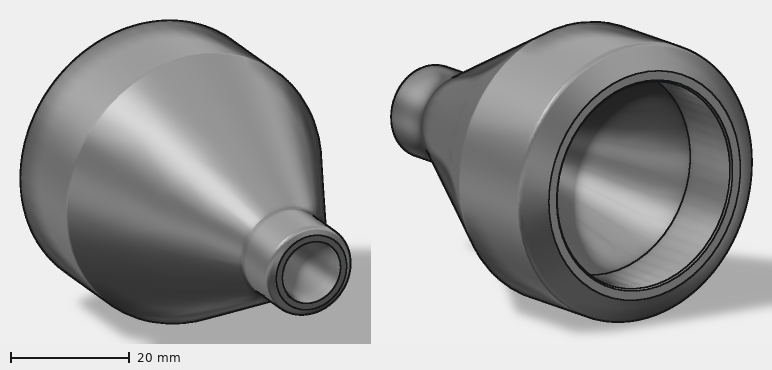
import cadquery as cq
import math

length = 64.0
body_diameter = 48.3
neck_diameter = 16.0
bore_diameter = 35.7
outlet_diameter = 11.0
mouth_diameter = 39.55
tip_diameter = 13.3
cone_start = 20.1
cone_end = 54.1
bore_depth = 12.0
inner_cone_end = 45.75
bevel_angle = 60.0
edge_radius = 1.0
bore_chamfer = 0.3
corner_tolerance = 0.05

body_radius = body_diameter / 2
neck_radius = neck_diameter / 2
bore_radius = bore_diameter / 2
outlet_radius = outlet_diameter / 2
mouth_radius = mouth_diameter / 2
tip_radius = tip_diameter / 2

bevel_slope = math.tan(math.radians(bevel_angle))
body_bevel_length = (body_radius - mouth_radius) / bevel_slope
neck_bevel_length = (neck_radius - tip_radius) / bevel_slope


def revolve_about_x(profile_points):
    """Revolve a closed profile of (x, radius) points around the X axis."""
    profile = cq.Workplane("XY").polyline(profile_points).close()
    return profile.revolve(360, (0, 0, 0), (1, 0, 0))


def make_outer_body():
    """Solid body, cone and neck with blended outer corners."""
    outer_corners = [
        (body_bevel_length, body_radius),
        (cone_start, body_radius),
        (cone_end, neck_radius),
        (length - neck_bevel_length, neck_radius),
    ]
    profile = [(0, 0), (0, mouth_radius), *outer_corners, (length, tip_radius), (length, 0)]
    body = revolve_about_x(profile)
    for x, _ in outer_corners:
        body = body.edges(cq.selectors.BoxSelector(
            (x - corner_tolerance, -body_radius, -body_radius),
            (x + corner_tolerance, body_radius, body_radius),
        )).edges("%CIRCLE").fillet(edge_radius)
    return body


def make_passage():
    """Chamfered bore that tapers down to the outlet hole."""
    return revolve_about_x([
        (0, 0),
        (0, bore_radius + bore_chamfer),
        (bore_chamfer, bore_radius),
        (bore_depth, bore_radius),
        (inner_cone_end, outlet_radius),
        (length, outlet_radius),
        (length, 0),
    ])


result = make_outer_body().cut(make_passage())